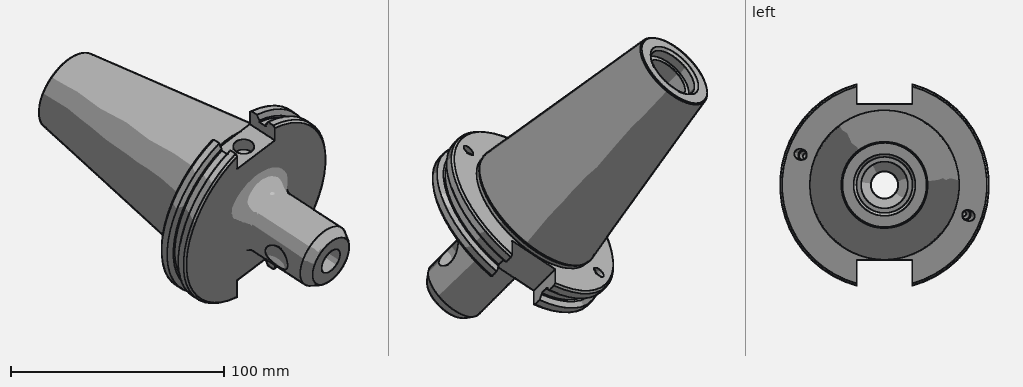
import cadquery as cq
import math

length = 168.4
gauge_x = 101.7
flange_start = 104.5
flange_end = 120.5
groove_x = 112.7
shank_tip_x = 163.5

cone_end_radius = 20.2
cone_taper = 7 / 24
gauge_radius = cone_end_radius + gauge_x * cone_taper / 2
cone_edge = 0.5
neck_radius = 69.2 / 2
neck_step = 1.0
flange_radius = 49.0
flange_edge = 1.0
shank_radius = 31.8 / 2
shank_fillet = 10.1
tip_start_radius = 13.5
tip_edge = 0.8
tip_radius = tip_start_radius - tip_edge

groove_width = 4.0
groove_mouth = 7.0
groove_floor_radius = 45.3
groove_wall_radius = flange_radius - (groove_mouth - groove_width) / 2 * math.tan(math.radians(60))

through_diameter = 12.6
thread_diameter = 21.9
thread_depth = 75.8
drill_half_angle = math.radians(59)
pilot_diameter = 26.3
pilot_depth = 5.5
pilot_chamfer = 1.3

slot_width = 26.0
upper_slot_floor = 38.0
lower_slot_floor = 35.2
slot_hole_diameter = 9.8
slot_hole_depth = 6.7

dimple_x = 148.4
dimple_radius = 8.0
dimple_offset = 19.5

inlet_diameter = 4.2
inlet_mouth_diameter = 5.0
inlet_mouth_depth = 2.5
inlet_circle_radius = 42.0
inlet_angle = 20.0
inlet_tilt = math.radians(30)
vent_diameter = 3.2


def drill(diameter, depth, start, direction):
    """Blind round hole with a conical bottom; the depth is to the start of the cone."""
    radius = diameter / 2
    tip = radius / math.tan(drill_half_angle)
    axis = cq.Vector(*direction).normalized()
    origin = cq.Vector(*start)
    shaft = cq.Solid.makeCylinder(radius, depth, origin, axis)
    point = cq.Solid.makeCone(radius, 0, tip, origin + axis * depth, axis)
    return cq.Workplane(shaft.fuse(point))


def turned_body():
    arc_offset = shank_fillet * (1 - math.sqrt(0.5))
    return (
        cq.Workplane("XY")
        .moveTo(0, 0)
        .lineTo(0, cone_end_radius - cone_edge)
        .lineTo(cone_edge, cone_end_radius + cone_edge * cone_taper / 2)
        .lineTo(gauge_x, gauge_radius)
        .lineTo(gauge_x + neck_step, neck_radius)
        .lineTo(flange_start, neck_radius)
        .lineTo(flange_start, flange_radius - flange_edge)
        .lineTo(flange_start + flange_edge, flange_radius)
        .lineTo(groove_x - groove_mouth / 2, flange_radius)
        .lineTo(groove_x - groove_width / 2, groove_wall_radius)
        .lineTo(groove_x - groove_width / 2, groove_floor_radius)
        .lineTo(groove_x + groove_width / 2, groove_floor_radius)
        .lineTo(groove_x + groove_width / 2, groove_wall_radius)
        .lineTo(groove_x + groove_mouth / 2, flange_radius)
        .lineTo(flange_end - flange_edge, flange_radius)
        .lineTo(flange_end, flange_radius - flange_edge)
        .lineTo(flange_end, shank_radius + shank_fillet)
        .threePointArc(
            (flange_end + arc_offset, shank_radius + arc_offset),
            (flange_end + shank_fillet, shank_radius),
        )
        .lineTo(shank_tip_x, shank_radius)
        .lineTo(length - tip_edge, tip_start_radius)
        .lineTo(length, tip_radius)
        .lineTo(length, 0)
        .close()
        .revolve(360, (0, 0, 0), (1, 0, 0))
    )


def central_bore():
    pilot_radius = pilot_diameter / 2
    thread_radius = thread_diameter / 2
    through_radius = through_diameter / 2
    cone_length = (thread_radius - through_radius) / math.tan(drill_half_angle)
    return (
        cq.Workplane("XY")
        .moveTo(0, 0)
        .lineTo(0, pilot_radius + pilot_chamfer)
        .lineTo(pilot_chamfer, pilot_radius)
        .lineTo(pilot_depth, pilot_radius)
        .lineTo(pilot_depth, thread_radius)
        .lineTo(thread_depth, thread_radius)
        .lineTo(thread_depth + cone_length, through_radius)
        .lineTo(length, through_radius)
        .lineTo(length, 0)
        .close()
        .revolve(360, (0, 0, 0), (1, 0, 0))
    )


def drive_slot(floor, side):
    """Slot across the flange rim; side is +1 for the top and -1 for the bottom."""
    height = flange_radius
    return cq.Workplane("XY").box(flange_end - flange_start, slot_width, height).translate(
        ((flange_start + flange_end) / 2, 0, side * (floor + height / 2))
    )


def coolant_inlet(angle):
    """Inlet leaning inward from the flange face, met by a radial vent from the groove."""
    inlet_run = groove_x - flange_start
    meeting_radius = inlet_circle_radius - inlet_run * math.tan(inlet_tilt)
    lean = (math.cos(inlet_tilt), math.sin(inlet_tilt), 0)
    start = (
        flange_start - inlet_mouth_diameter * lean[0],
        inlet_circle_radius + inlet_mouth_diameter * lean[1],
        0,
    )
    inward = (lean[0], -lean[1], 0)
    inlet = drill(inlet_diameter, inlet_mouth_diameter + inlet_run, start, inward)
    mouth = cq.Solid.makeCylinder(
        inlet_mouth_diameter / 2,
        inlet_mouth_diameter + inlet_mouth_depth,
        cq.Vector(*start),
        cq.Vector(*inward),
    )
    vent_start = (groove_x, flange_radius, 0)
    vent = drill(vent_diameter, flange_radius - meeting_radius, vent_start, (0, -1, 0))
    return inlet.union(cq.Workplane(mouth)).union(vent).rotate((0, 0, 0), (1, 0, 0), angle)


result = turned_body().cut(central_bore())

for floor, side in ((upper_slot_floor, 1), (lower_slot_floor, -1)):
    result = result.cut(drive_slot(floor, side))
result = result.cut(
    drill(slot_hole_diameter, slot_hole_depth, (groove_x, 0, upper_slot_floor), (0, 0, -1))
)

for side in (1, -1):
    dimple = cq.Workplane("XY").sphere(dimple_radius)
    result = result.cut(dimple.translate((dimple_x, side * dimple_offset, 0)))

for half_turn in (0, 180):
    result = result.cut(coolant_inlet(inlet_angle + half_turn))